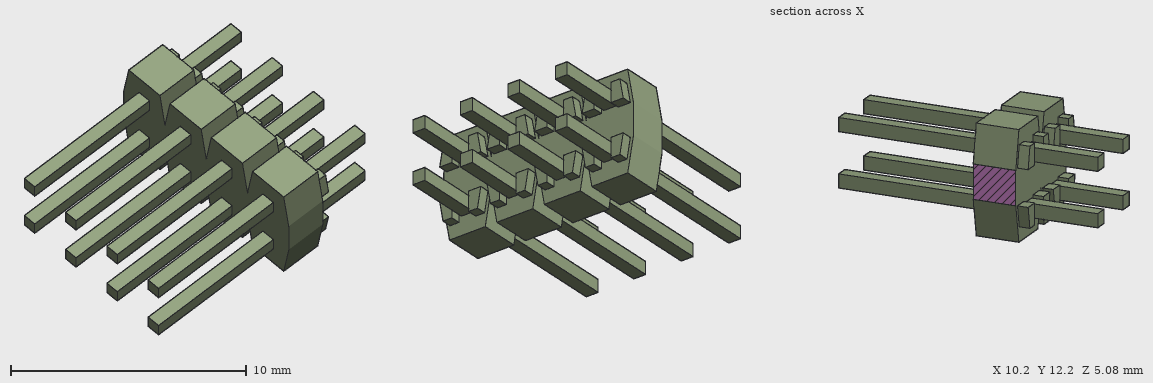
import cadquery as cq

pitch = 2.54
columns = 4
rows = 2

body_height = rows * pitch
body_depth = 2.0
cell_flat_width = 1.92
waist_height = 1.6

pin_width = 0.64
pin_front_length = 6.75
pin_back_length = 3.4

foot_depth = 0.5
foot_bottom = 0.85
foot_top = 1.85
foot_side_gap = 0.16
foot_inner_offset = 0.45

column_positions = [(i - (columns - 1) / 2) * pitch for i in range(columns)]
row_positions = [(i - (rows - 1) / 2) * pitch for i in range(rows)]

half_pitch = pitch / 2
half_height = body_height / 2
half_waist = waist_height / 2
flank_slope = (pitch - cell_flat_width) / 2 / (half_height - half_waist)


def flank_offset(height):
    """X distance from a cell's axis to its tapered flank at a given height."""
    return half_pitch - flank_slope * (height - half_waist)


def extrude_along_y(points, start, depth):
    """Prism with an (x, z) outline, reaching from start toward +Y."""
    plane = cq.Workplane("XZ", origin=(0, start, 0))
    return plane.polyline(points).close().extrude(-depth)


def make_body():
    """Bar along X whose long edges are notched and tapered into one cell per column."""
    half_flat = cell_flat_width / 2
    body = cq.Workplane("XY")
    for x in column_positions:
        cell = [
            (x - half_flat, half_height),
            (x + half_flat, half_height),
            (x + half_pitch, half_waist),
            (x + half_pitch, -half_waist),
            (x + half_flat, -half_height),
            (x - half_flat, -half_height),
            (x - half_pitch, -half_waist),
            (x - half_pitch, half_waist),
        ]
        body = body.union(extrude_along_y(cell, 0, body_depth))
    return body


def make_foot(x, side, level):
    """Foot beside a pin; side and level (+1 or -1) pick its corner of the cell."""
    inner_x = x + side * foot_inner_offset
    outer_low_x = x + side * (flank_offset(foot_bottom) - foot_side_gap)
    outer_high_x = x + side * (flank_offset(foot_top) - foot_side_gap)
    outline = [
        (inner_x, level * foot_bottom),
        (outer_low_x, level * foot_bottom),
        (outer_high_x, level * foot_top),
        (inner_x, level * foot_top),
    ]
    return extrude_along_y(outline, body_depth, foot_depth)


def make_pin(x, z):
    """Square pin passing right through the body."""
    pin_length = pin_front_length + body_depth + pin_back_length
    pin_center_y = pin_length / 2 - pin_front_length
    pin = cq.Workplane("XY").box(pin_width, pin_length, pin_width)
    return pin.translate((x, pin_center_y, z))


result = make_body()
for column_x in column_positions:
    for corner_side in (-1, 1):
        for corner_level in (-1, 1):
            result = result.union(make_foot(column_x, corner_side, corner_level))
    for row_z in row_positions:
        result = result.union(make_pin(column_x, row_z))
result = result.clean()